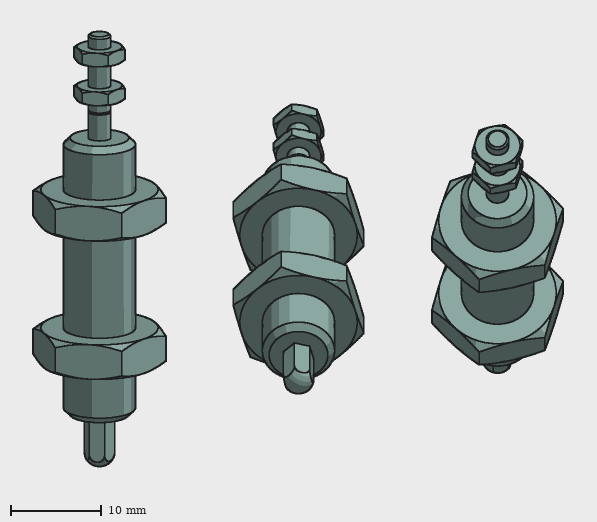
import cadquery as cq
import math

TOTAL_LENGTH = 50.0

BARREL_DIAMETER = 8.0
BARREL_BOTTOM = 6.0
BARREL_LENGTH = 32.0
BARREL_CHAMFER = 0.75

LARGE_NUT_FLATS = 13.0
LARGE_NUT_HEIGHT = 4.0
LARGE_NUT_SETBACK = 6.0

SMALL_NUT_FLATS = 5.0
SMALL_NUT_HEIGHT = 1.6
SMALL_NUT_PITCH = 4.5
SMALL_NUT_TOP = 48.55

ROD_DIAMETER = 2.5
THREAD_LENGTH = 9.0
THREAD_CHAMFER = 0.225
TIP_FLATS = 3.0

NUT_CHAMFER_ANGLE = math.radians(30)

BARREL_TOP = BARREL_BOTTOM + BARREL_LENGTH
TIP_TOP = BARREL_BOTTOM + BARREL_LENGTH / 2
THREAD_BOTTOM = TOTAL_LENGTH - THREAD_LENGTH
LARGE_NUT_BOTTOMS = (
    BARREL_BOTTOM + LARGE_NUT_SETBACK,
    BARREL_TOP - LARGE_NUT_SETBACK - LARGE_NUT_HEIGHT,
)
UPPER_SMALL_NUT_BOTTOM = SMALL_NUT_TOP - SMALL_NUT_HEIGHT
SMALL_NUT_BOTTOMS = (UPPER_SMALL_NUT_BOTTOM - SMALL_NUT_PITCH, UPPER_SMALL_NUT_BOTTOM)


def across_corners(flats):
    """Corner-to-corner width of a regular hexagon, from its width across flats."""
    return flats / math.cos(math.pi / 6)


def hex_prism(flats, height):
    """Hexagonal prism standing on Z = 0 with two corners on the X axis."""
    return cq.Workplane("XY").polygon(6, across_corners(flats)).extrude(height)


def cylinder(diameter, bottom, top):
    """Upright cylinder between two heights."""
    return cq.Workplane("XY", origin=(0, 0, bottom)).circle(diameter / 2).extrude(top - bottom)


def spin(profile):
    """Close a profile drawn in the XZ plane and revolve it about the Z axis."""
    return profile.close().revolve(360, (0, 0, 0), (0, 1, 0))


def make_tip():
    """Hexagonal part of the rod, rounded at the bottom by a sphere of its corner radius."""
    dome_radius = across_corners(TIP_FLATS) / 2
    dome_envelope = spin(
        cq.Workplane("XZ")
        .moveTo(0, 0)
        .radiusArc((dome_radius, dome_radius), -dome_radius)
        .lineTo(dome_radius, TIP_TOP)
        .lineTo(0, TIP_TOP)
    )
    return hex_prism(TIP_FLATS, TIP_TOP).intersect(dome_envelope)


def make_rod():
    """One rod from tip to thread; the thread is chamfered at both ends."""
    shank = cylinder(ROD_DIAMETER, TIP_TOP, THREAD_BOTTOM)
    thread = cylinder(ROD_DIAMETER, THREAD_BOTTOM, TOTAL_LENGTH).faces("<Z or >Z").chamfer(THREAD_CHAMFER)
    return make_tip().union(shank).union(thread)


def make_barrel(rod):
    """Cylinder chamfered at both ends, with a bore that matches the rod."""
    blank = cylinder(BARREL_DIAMETER, BARREL_BOTTOM, BARREL_TOP).faces("<Z or >Z").chamfer(BARREL_CHAMFER)
    return blank.cut(rod)


def make_nut(flats, height, bore, bottom):
    """Hexagonal nut; the cone on each end leaves a round face that just reaches the flats."""
    corner_radius = across_corners(flats) / 2
    face_radius = flats / 2
    corner_drop = (corner_radius - face_radius) * math.tan(NUT_CHAMFER_ANGLE)
    chamfer_envelope = spin(
        cq.Workplane("XZ").polyline([
            (0, 0),
            (face_radius, 0),
            (corner_radius, corner_drop),
            (corner_radius, height - corner_drop),
            (face_radius, height),
            (0, height),
        ])
    )
    blank = hex_prism(flats, height).intersect(chamfer_envelope)
    return blank.cut(cylinder(bore, 0, height)).translate((0, 0, bottom))


rod = make_rod()
barrel = make_barrel(rod)
large_nuts = [
    make_nut(LARGE_NUT_FLATS, LARGE_NUT_HEIGHT, BARREL_DIAMETER, bottom)
    for bottom in LARGE_NUT_BOTTOMS
]
small_nuts = [
    make_nut(SMALL_NUT_FLATS, SMALL_NUT_HEIGHT, ROD_DIAMETER, bottom)
    for bottom in SMALL_NUT_BOTTOMS
]

result = cq.Compound.makeCompound([
    body.solids().val()
    for body in (barrel, rod, *large_nuts, *small_nuts)
])